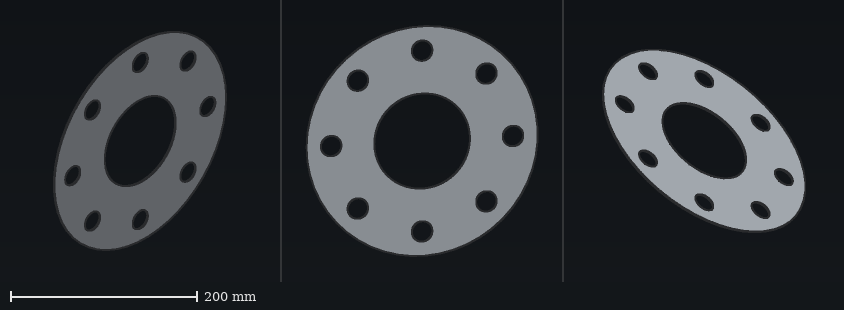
import cadquery as cq

outer_diameter = 254.0
thickness = 1.5
bore_diameter = 105.2

bolt_hole_count = 8
bolt_hole_diameter = 22.5
bolt_circle_diameter = 200.0

ring = (
    cq.Workplane("YZ")
    .circle(outer_diameter / 2)
    .circle(bore_diameter / 2)
    .extrude(thickness / 2, both=True)
)

bolt_holes = (
    cq.Workplane("YZ")
    .polarArray(bolt_circle_diameter / 2, 0, 360, bolt_hole_count)
    .circle(bolt_hole_diameter / 2)
    .extrude(thickness, both=True)
)

result = ring.cut(bolt_holes)